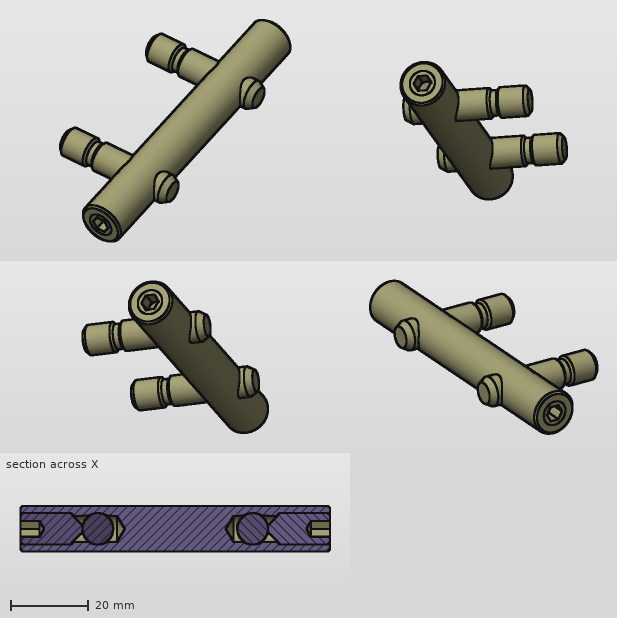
import cadquery as cq
import math

bar_length = 80.0
bar_radius = 11.8 / 2
bar_chamfer = 0.6
bore_radius = 6.6 / 2
bore_depth = 25.0
drill_tip_angle = 118.0
bar_half = bar_length / 2

pin_spacing = 40.0
pin_positions = [-pin_spacing / 2, pin_spacing / 2]
pin_radius = 4.0
pin_left_x = -24.0
pin_right_x = 9.0
pin_left_chamfer = 1.0
pin_right_chamfer_length = 1.9
pin_right_chamfer_height = 1.1
groove_start_x = -16.3
groove_end_x = -13.4
groove_radius = 6.6 / 2
groove_taper = pin_radius - groove_radius

screw_radius = 4.0
screw_length = bar_half - pin_spacing / 2 - pin_radius
screw_head_chamfer = screw_radius - bore_radius
screw_tip_radius = 2.0 / 2
screw_cone_length = screw_radius - screw_tip_radius
hex_flats = 4.0
hex_depth = 5.0
hex_corners = hex_flats / math.cos(math.radians(30))
socket_cone_angle = 120.0


def axial_cylinder(radius, start_y, length):
    """Cylinder along +Y, centred on the bar axis."""
    return cq.Workplane("XZ", origin=(0, start_y, 0)).circle(radius).extrude(-length)


def cone_depth(radius, tip_angle):
    return radius / math.tan(math.radians(tip_angle / 2))


def revolve_about_y(profile):
    """Turn an (x, y) outline about the bar axis."""
    return cq.Workplane("XY").polyline(profile).close().revolve(360, (0, 0, 0), (0, 1, 0))


def mirror_to_far_end(shape):
    return shape.mirror("XZ")


def make_screw_blank():
    """Outer form of the set screw at the -Y end, without its socket."""
    head_y = -bar_half
    tip_y = head_y + screw_length
    return revolve_about_y([
        (0, head_y),
        (bore_radius, head_y),
        (screw_radius, head_y + screw_head_chamfer),
        (screw_radius, tip_y - screw_cone_length),
        (screw_tip_radius, tip_y),
        (0, tip_y),
    ])


def make_screw():
    """Set screw at the -Y end with a hexagon socket that has a conical floor."""
    hexagon = (
        cq.Workplane("XZ", origin=(0, -bar_half, 0))
        .polygon(6, hex_corners)
        .extrude(-hex_depth)
    )
    floor_y = -bar_half + hex_depth
    floor_radius = hex_flats / 2
    floor_cone = revolve_about_y([
        (0, floor_y),
        (floor_radius, floor_y),
        (0, floor_y + cone_depth(floor_radius, socket_cone_angle)),
    ])
    return make_screw_blank().cut(hexagon).cut(floor_cone)


def make_pin(y):
    """Chamfered pin with a tapered-wall groove, turned about X."""
    profile = [
        (pin_left_x, 0),
        (pin_left_x, pin_radius - pin_left_chamfer),
        (pin_left_x + pin_left_chamfer, pin_radius),
        (groove_start_x, pin_radius),
        (groove_start_x + groove_taper, groove_radius),
        (groove_end_x - groove_taper, groove_radius),
        (groove_end_x, pin_radius),
        (pin_right_x - pin_right_chamfer_length, pin_radius),
        (pin_right_x, pin_radius - pin_right_chamfer_height),
        (pin_right_x, 0),
    ]
    pin = cq.Workplane("XY").polyline(profile).close().revolve(360, (0, 0, 0), (1, 0, 0))
    return pin.translate((0, y, 0))


def make_bore():
    """Blind drilled bore at the -Y end, widened to seat the set screw."""
    bottom_y = -bar_half + bore_depth
    drill = revolve_about_y([
        (0, -bar_half),
        (bore_radius, -bar_half),
        (bore_radius, bottom_y),
        (0, bottom_y + cone_depth(bore_radius, drill_tip_angle)),
    ])
    return drill.union(make_screw_blank())


def make_bar():
    bar = axial_cylinder(bar_radius, -bar_half, bar_length).faces("<Y or >Y").chamfer(bar_chamfer)
    bore = make_bore()
    bar = bar.cut(bore).cut(mirror_to_far_end(bore))
    for y in pin_positions:
        pin_hole = cq.Workplane("YZ").center(y, 0).circle(pin_radius).extrude(bar_radius, both=True)
        bar = bar.cut(pin_hole)
    return bar


bar = make_bar()
pins = [make_pin(y) for y in pin_positions]

near_screw = make_screw()
screws = [near_screw, mirror_to_far_end(near_screw)]

result = cq.Compound.makeCompound([
    bar.solids().val(),
    *[pin.val() for pin in pins],
    *[screw.solids().val() for screw in screws],
])